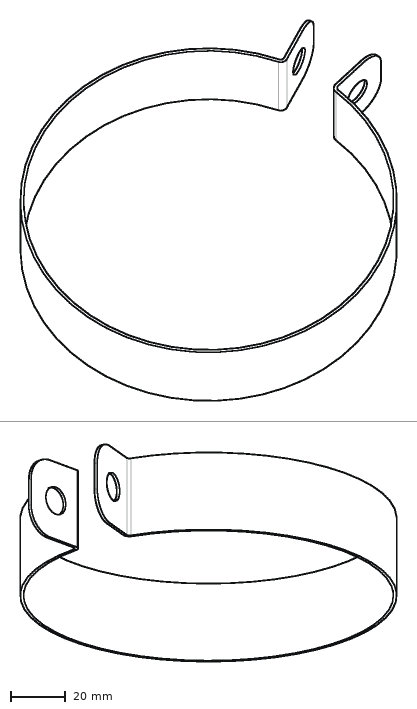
import cadquery as cq
import math

ring_diameter = 137.0
overall_depth = 161.0
strap_width = 30.0
thickness = 1.2
bend_inner_radius = 1.2
half_gap = 10.5
tab_tilt = math.radians(8.5)
tab_corner_radius = 10.0
hole_diameter = 10.5
hole_to_tip = 13.0

outer_radius = ring_diameter / 2
inner_radius = outer_radius - thickness
bend_outer_radius = bend_inner_radius + thickness
tip_y = overall_depth - outer_radius

bend_x = half_gap + bend_outer_radius
bend_angle = math.asin(bend_x / (outer_radius + bend_inner_radius))
bend_y = bend_x / math.tan(bend_angle)

along = (math.sin(tab_tilt), math.cos(tab_tilt))
toward_gap = (-math.cos(tab_tilt), math.sin(tab_tilt))
tab_length = (tip_y - bend_y - bend_outer_radius * toward_gap[1]) / along[1]


def ring_point(radius):
    """Point on the ring where the right bend begins."""
    return (radius * math.sin(bend_angle), radius * math.cos(bend_angle))


def tab_point(offset, distance):
    """Point on the right tab, offset from the bend centre and moved along the tab."""
    return (
        bend_x + offset * toward_gap[0] + distance * along[0],
        bend_y + offset * toward_gap[1] + distance * along[1],
    )


def bend_middle(radius):
    """Middle of the bend arc, between the ring end and the tab root."""
    to_ring = (-math.sin(bend_angle), -math.cos(bend_angle))
    x = to_ring[0] + toward_gap[0]
    y = to_ring[1] + toward_gap[1]
    scale = radius / math.hypot(x, y)
    return (bend_x + x * scale, bend_y + y * scale)


def mirrored(point):
    return (-point[0], point[1])


def make_strap():
    """Open ring with a bend and a straight tab at each end."""
    outline = (
        cq.Workplane("XY")
        .moveTo(*ring_point(outer_radius))
        .threePointArc((0, -outer_radius), mirrored(ring_point(outer_radius)))
        .threePointArc(
            mirrored(bend_middle(bend_inner_radius)), mirrored(tab_point(bend_inner_radius, 0))
        )
        .lineTo(*mirrored(tab_point(bend_inner_radius, tab_length)))
        .lineTo(*mirrored(tab_point(bend_outer_radius, tab_length)))
        .lineTo(*mirrored(tab_point(bend_outer_radius, 0)))
        .threePointArc(
            mirrored(bend_middle(bend_outer_radius)), mirrored(ring_point(inner_radius))
        )
        .threePointArc((0, -inner_radius), ring_point(inner_radius))
        .threePointArc(bend_middle(bend_outer_radius), tab_point(bend_outer_radius, 0))
        .lineTo(*tab_point(bend_outer_radius, tab_length))
        .lineTo(*tab_point(bend_inner_radius, tab_length))
        .lineTo(*tab_point(bend_inner_radius, 0))
        .threePointArc(bend_middle(bend_inner_radius), ring_point(outer_radius))
        .close()
    )
    return outline.extrude(strap_width / 2, both=True)


def round_tab_corners(strap):
    """Round the short edges that run through the sheet at both tab tips."""
    for side in (1, -1):
        direction = cq.Vector(side * toward_gap[0], toward_gap[1], 0)
        tip_edges = cq.selectors.ParallelDirSelector(direction)
        strap = strap.edges(tip_edges).edges(">Y").fillet(tab_corner_radius)
    return strap


def make_hole(side):
    """Cutter for the bolt hole, square to the tab on the given side."""
    hole_x, hole_y = tab_point(0, tab_length - hole_to_tip)
    direction = cq.Vector(side * toward_gap[0], toward_gap[1], 0)
    cutter_length = 2 * bend_outer_radius
    return cq.Solid.makeCylinder(
        hole_diameter / 2, cutter_length, cq.Vector(side * hole_x, hole_y, 0), direction
    )


result = round_tab_corners(make_strap())
for tab_side in (1, -1):
    result = result.cut(make_hole(tab_side))